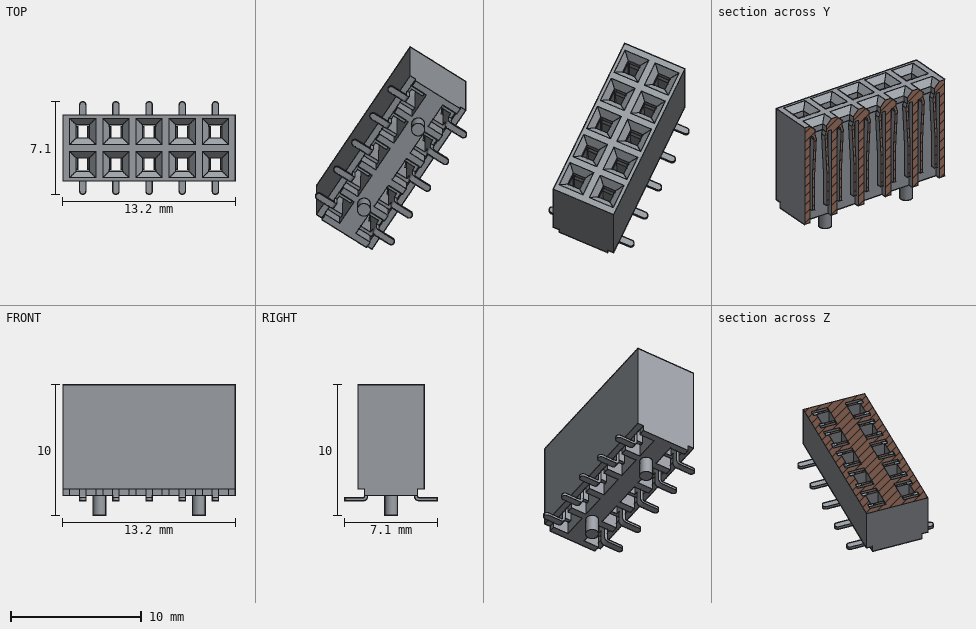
import cadquery as cq

LENGTH = 13.2
HEIGHT = 8.5
COLUMNS = 5
END_MARGIN = 1.52
PITCH = (LENGTH - 2 * END_MARGIN) / (COLUMNS - 1)
WIDTH = 2 * PITCH
STEP = 0.5
STEP_Y = WIDTH / 2 - STEP

MOUTH = 2.0
THROAT = MOUTH / 2
LEAD_IN_DEPTH = 0.5
THROAT_DEPTH = 0.5
CAVITY_LENGTH = MOUTH
CAVITY_TOP = HEIGHT - LEAD_IN_DEPTH - THROAT_DEPTH
THROAT_INNER_Y = PITCH / 2 - THROAT / 2
CAVITY_RELIEF = 0.03
CAVITY_INNER_Y = THROAT_INNER_Y - CAVITY_RELIEF

SHEET = 0.25
LEAD_WIDTH = 0.5
LEAD_SPAN = 7.1
STANDOFF = 0.4
BEND_RADIUS = 0.1
ARM_GAP = 0.77
ARM_OUTER_Y = 1.64
PINCH_DROP = 0.32
BASE_BOTTOM = 1.0
BASE_TOP = 3.96
BASE_GAP = 1.11

PEG_DIAMETER = 1.0
PEG_LENGTH = 1.5
PEG_SPACING = 3 * PITCH


def box(x_min, x_max, y_min, y_max, z_min, z_max):
    size = (x_max - x_min, y_max - y_min, z_max - z_min)
    return cq.Workplane("XY").box(*size, centered=False).translate((x_min, y_min, z_min))


def make_housing():
    lower = cq.Workplane("XY").box(LENGTH, 2 * STEP_Y, STEP, centered=(True, True, False))
    upper = box(-LENGTH / 2, LENGTH / 2, -WIDTH / 2, WIDTH / 2, STEP, HEIGHT)
    return lower.union(upper)


def make_opening():
    """Lead-in, throat and contact cavity of one position in the +Y row, at X = 0."""
    lead_in = (
        cq.Workplane("XY", origin=(0, PITCH / 2, HEIGHT))
        .rect(MOUTH, MOUTH)
        .workplane(offset=-LEAD_IN_DEPTH)
        .rect(THROAT, THROAT)
        .loft(ruled=True)
    )
    throat = (
        cq.Workplane("XY", origin=(0, PITCH / 2, CAVITY_TOP))
        .rect(THROAT, THROAT)
        .extrude(THROAT_DEPTH)
    )
    cavity = box(-CAVITY_LENGTH / 2, CAVITY_LENGTH / 2, CAVITY_INNER_Y, STEP_Y, 0, CAVITY_TOP)
    return lead_in.union(throat).union(cavity)


def make_lead():
    """Strip that leaves the cavity downwards and bends outwards into a round-ended foot."""
    tip_y = LEAD_SPAN / 2
    inner_y = STEP_Y - SHEET
    foot_top = SHEET - STANDOFF
    bend_y = STEP_Y + BEND_RADIUS
    bend_z = foot_top + BEND_RADIUS
    diagonal = 0.5**0.5
    outer_reach = (BEND_RADIUS + SHEET) * diagonal
    inner_reach = BEND_RADIUS * diagonal
    strip = (
        cq.Workplane("YZ")
        .moveTo(inner_y, BASE_BOTTOM)
        .lineTo(inner_y, bend_z)
        .threePointArc((bend_y - outer_reach, bend_z - outer_reach), (bend_y, -STANDOFF))
        .lineTo(tip_y, -STANDOFF)
        .lineTo(tip_y, foot_top)
        .lineTo(bend_y, foot_top)
        .threePointArc((bend_y - inner_reach, bend_z - inner_reach), (STEP_Y, bend_z))
        .lineTo(STEP_Y, BASE_BOTTOM)
        .close()
        .extrude(LEAD_WIDTH / 2, both=True)
    )
    tip_radius = LEAD_WIDTH / 2
    outline = (
        cq.Workplane("XY", origin=(0, 0, -STANDOFF))
        .moveTo(-tip_radius, 0)
        .lineTo(-tip_radius, tip_y - tip_radius)
        .radiusArc((0, tip_y), tip_radius)
        .radiusArc((tip_radius, tip_y - tip_radius), tip_radius)
        .lineTo(tip_radius, 0)
        .close()
        .extrude(STANDOFF + BASE_BOTTOM)
    )
    return strip.intersect(outline)


def make_contact():
    """Lead, U-shaped base and two pinched spring arms of one position in the +Y row."""
    base_half = BASE_GAP / 2 + SHEET
    base = box(-base_half, base_half, THROAT_INNER_Y, STEP_Y, BASE_BOTTOM, BASE_TOP)
    base = base.cut(
        box(-BASE_GAP / 2, BASE_GAP / 2, THROAT_INNER_Y, STEP_Y - SHEET, BASE_BOTTOM, BASE_TOP)
    )
    back = box(-BASE_GAP / 2, BASE_GAP / 2, STEP_Y - SHEET, STEP_Y, BASE_TOP, CAVITY_TOP)
    pinch_z = CAVITY_TOP - PINCH_DROP
    inner_edge = [(BASE_GAP / 2, BASE_TOP), (ARM_GAP / 2, pinch_z), (THROAT / 2, CAVITY_TOP)]
    outer_edge = [(x + SHEET, z) for x, z in reversed(inner_edge)]
    arm = (
        cq.Workplane("XZ", origin=(0, THROAT_INNER_Y, 0))
        .polyline(inner_edge + outer_edge)
        .close()
        .extrude(THROAT_INNER_Y - ARM_OUTER_Y)
    )
    return make_lead().union(base).union(back).union(arm).union(arm.mirror("YZ"))


def at_all_positions(shape):
    """Copies a +Y row shape to every column, and turned half round to the -Y row."""
    copies = []
    for column in range(COLUMNS):
        x = (column - (COLUMNS - 1) / 2) * PITCH
        copy = shape.translate((x, 0, 0))
        copies.append(copy)
        copies.append(copy.rotate((0, 0, 0), (0, 0, 1), 180))
    return copies


def make_pegs():
    return (
        cq.Workplane("XY")
        .pushPoints([(-PEG_SPACING / 2, 0), (PEG_SPACING / 2, 0)])
        .circle(PEG_DIAMETER / 2)
        .extrude(-PEG_LENGTH)
    )


result = make_housing()
for opening in at_all_positions(make_opening()):
    result = result.cut(opening)
for contact in at_all_positions(make_contact()):
    result = result.union(contact)
result = result.union(make_pegs())